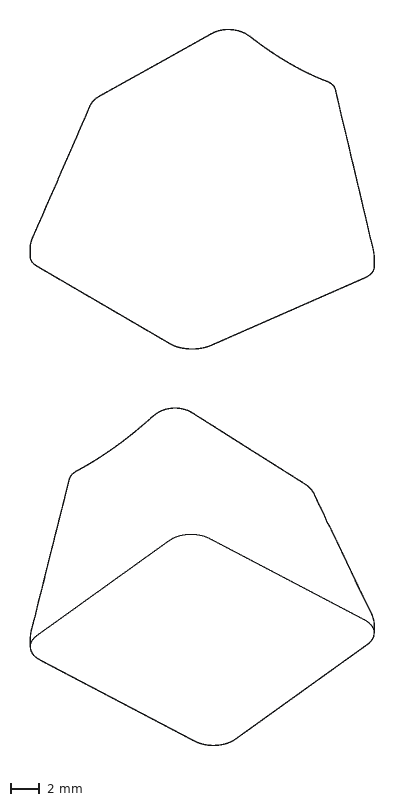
import cadquery as cq
import math

base_size = 18.16
corner_radius = 2.0
skirt_height = 0.87

taper_start_height = 1.0
band_top_height = 1.23

top_width = 11.91
top_depth = 14.22
top_center_y = 0.95
top_center_z = 13.3
top_tilt = 6.0

dish_radius = 25.0
dish_depth = 0.89
top_edge_radius = 0.4


def tilted_plane(center_y, center_z, tilt_degrees):
    """Plane turned about X so that its back (+Y) side is the higher one."""
    tilt = math.radians(tilt_degrees)
    return cq.Plane(
        origin=(0, center_y, center_z),
        xDir=(1, 0, 0),
        normal=(0, -math.sin(tilt), math.cos(tilt)),
    )


def rounded_rectangle(plane, width, depth):
    """Closed outline with round corners, centred on the plane."""
    sketch = cq.Sketch().rect(width, depth).vertices().fillet(corner_radius)
    return sketch.reset().faces().val().outerWire().moved(plane.location)


def base_outline(height):
    """Full-size level outline at the given height."""
    return rounded_rectangle(tilted_plane(0, height, 0), base_size, base_size)


def taper_outline(fraction):
    """Outline of the tapered walls; fraction runs from 0 at their foot to 1 at the top."""
    center_z = taper_start_height + fraction * (top_center_z - taper_start_height)
    plane = tilted_plane(fraction * top_center_y, center_z, fraction * top_tilt)
    width = base_size + fraction * (top_width - base_size)
    depth = base_size + fraction * (top_depth - base_size)
    return rounded_rectangle(plane, width, depth)


def make_body():
    """Upright skirt, easing band and tapered walls in one ruled loft."""
    band_fraction = (band_top_height - taper_start_height) / (top_center_z - taper_start_height)
    outlines = [
        base_outline(0),
        base_outline(skirt_height),
        taper_outline(band_fraction),
        taper_outline(1),
    ]
    return cq.Workplane(cq.Solid.makeLoft(outlines, True))


def make_dish(top_plane):
    """Cylinder running front to back, parallel to the tilted top."""
    axis_plane = cq.Plane(
        origin=top_plane.toWorldCoords((0, 0, dish_radius - dish_depth)),
        xDir=(1, 0, 0),
        normal=top_plane.yDir,
    )
    return cq.Workplane(axis_plane).circle(dish_radius).extrude(base_size, both=True)


top_plane = tilted_plane(top_center_y, top_center_z, top_tilt)
dished_body = make_body().cut(make_dish(top_plane))

dish_bottom = top_plane.toWorldCoords((0, 0, -dish_depth))
dish_face = dished_body.faces(cq.NearestToPointSelector(dish_bottom))
result = dish_face.edges().fillet(top_edge_radius)